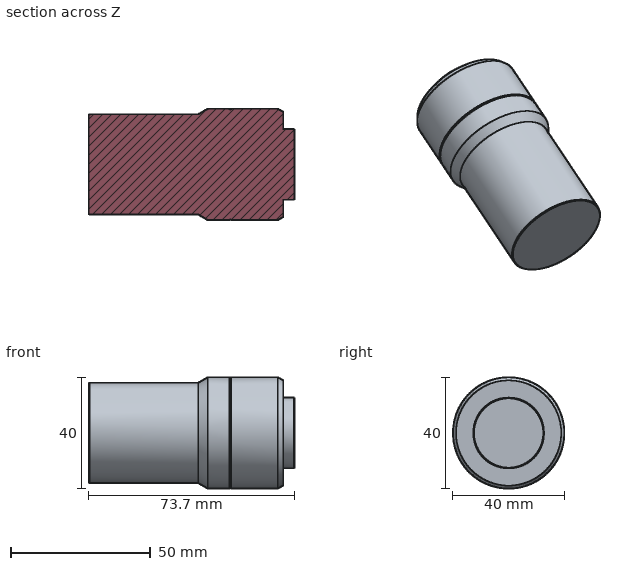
import cadquery as cq
import math

total_length = 73.7
barrel_radius = 36.0 / 2
collar_radius = 40.0 / 2
nose_radius = 25.4 / 2
nose_length = 4.0
barrel_length = 39.2
end_chamfer = 0.3

taper_angle = math.radians(30)
collar_chamfer_length = 2.0

groove_center = 50.7
groove_depth = 0.3

taper_end = barrel_length + (collar_radius - barrel_radius) / math.tan(taper_angle)
groove_start = groove_center - groove_depth
groove_end = groove_center + groove_depth
collar_end = total_length - nose_length
collar_chamfer_start = collar_end - collar_chamfer_length
collar_end_radius = collar_radius - collar_chamfer_length * math.tan(taper_angle)


def turned_body():
    """Revolve the half profile, drawn in the XZ plane, about the X axis."""
    half_profile = (
        cq.Workplane("XZ")
        .moveTo(0, 0)
        .lineTo(0, barrel_radius - end_chamfer)
        .lineTo(end_chamfer, barrel_radius)
        .lineTo(barrel_length, barrel_radius)
        .lineTo(taper_end, collar_radius)
        .lineTo(groove_start, collar_radius)
        .lineTo(groove_center, collar_radius - groove_depth)
        .lineTo(groove_end, collar_radius)
        .lineTo(collar_chamfer_start, collar_radius)
        .lineTo(collar_end, collar_end_radius)
        .lineTo(collar_end, nose_radius)
        .lineTo(total_length - end_chamfer, nose_radius)
        .lineTo(total_length, nose_radius - end_chamfer)
        .lineTo(total_length, 0)
        .close()
    )
    return half_profile.revolve(360, (0, 0, 0), (1, 0, 0))


result = turned_body()